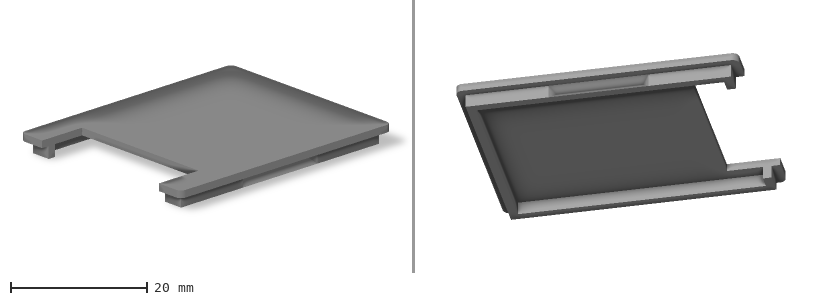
import cadquery as cq

plate_width = 34.4
plate_length = 42.4
plate_thickness = 1.2
corner_radius = 1.0

rim_inset = 1.3
rim_height = 2.0
rim_wall = 1.3
rim_width = plate_width - 2 * rim_inset
rim_length = plate_length - 2 * rim_inset

notch_width = 25.0
notch_depth = 8.0

groove_length = 15.0
groove_depth = rim_height / 2


def make_plate():
    """Rounded plate resting on top of the rim."""
    return (
        cq.Workplane("XY", origin=(0, 0, rim_height))
        .rect(plate_width, plate_length)
        .extrude(plate_thickness)
        .edges("|Z")
        .fillet(corner_radius)
    )


def make_rim():
    """Sharp-cornered rectangular ring standing on Z = 0."""
    return (
        cq.Workplane("XY")
        .rect(rim_width, rim_length)
        .rect(rim_width - 2 * rim_wall, rim_length - 2 * rim_wall)
        .extrude(rim_height)
    )


def make_notch():
    """Block that opens the front edge through the plate and the rim."""
    notch_center_y = (notch_depth - plate_length) / 2
    return (
        cq.Workplane("XY", origin=(0, notch_center_y, 0))
        .rect(notch_width, notch_depth)
        .extrude(rim_height + plate_thickness)
    )


def make_groove():
    """Wedge with sloped ends that cuts the groove in the -X side of the rim."""
    outer_x = -rim_width / 2
    mouth_end = groove_length / 2
    wedge = (
        cq.Workplane("XZ", origin=(0, mouth_end, 0))
        .moveTo(outer_x, 0)
        .lineTo(outer_x + groove_depth, rim_height / 2)
        .lineTo(outer_x, rim_height)
        .close()
        .extrude(groove_length)
    )
    root_end = mouth_end - groove_depth
    end_slopes = (
        cq.Workplane("XY")
        .moveTo(outer_x, -mouth_end)
        .lineTo(outer_x + groove_depth, -root_end)
        .lineTo(outer_x + groove_depth, root_end)
        .lineTo(outer_x, mouth_end)
        .close()
        .extrude(rim_height)
    )
    return wedge.intersect(end_slopes)


left_groove = make_groove()
right_groove = left_groove.mirror("YZ")

result = (
    make_plate()
    .union(make_rim())
    .cut(make_notch())
    .cut(left_groove)
    .cut(right_groove)
)